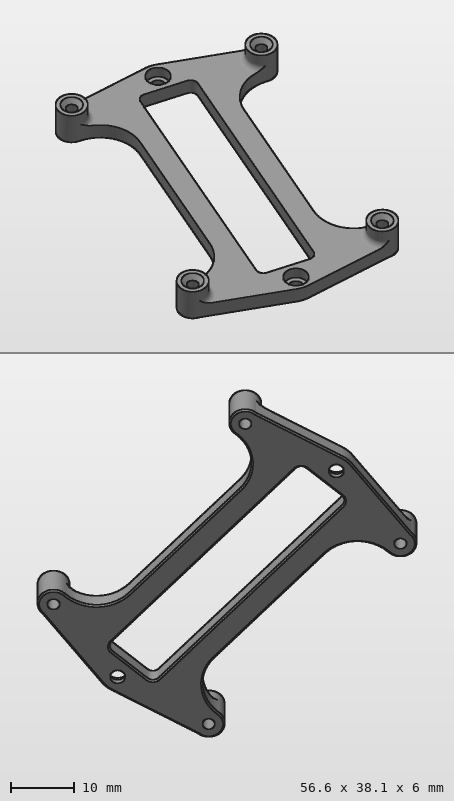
import cadquery as cq
import math

length = 56.65
width = 38.1
plate_thickness = 3.0
bottom_chamfer = 0.3
tip_radius = 5.0
waist_half_width = 9.0
waist_corner_radius = 6.95

post_height = 6.0
post_radius = 2.55
post_x = 22.5
post_y = width / 2 - post_radius
post_fillet = 1.0
post_hole_diameter = 1.9
post_sink_diameter = 3.55
sink_angle = 90

window_length = 45.55
window_width = 10.0
window_corner_radius = 1.25

trim_margin = 28.35

tip_hole_x = 25.65
tip_hole_diameter = 2.4
tip_bore_diameter = 4.0
tip_bore_depth = 2.0

post_centers = [(sx * post_x, sy * post_y) for sx in (-1, 1) for sy in (-1, 1)]


def tip_tangent_point():
    """Point where the line from a post's outer side touches the rounded right tip."""
    center_x = length / 2 - tip_radius
    dx = post_x + post_radius - center_x
    dy = post_y
    angle = math.atan2(dy, dx) - math.acos(tip_radius / math.hypot(dx, dy))
    return center_x + tip_radius * math.cos(angle), tip_radius * math.sin(angle)


def outline(height):
    """Waisted outline with rounded ends and posts, extruded up from the bottom face."""
    tangent_x, tangent_y = tip_tangent_point()
    outer_x = post_x + post_radius
    inner_x = post_x - post_radius
    waist_x = inner_x - waist_corner_radius
    corner_y = waist_half_width + waist_corner_radius
    diagonal = waist_corner_radius * math.sqrt(0.5)
    arc_x = waist_x + diagonal
    arc_y = corner_y - diagonal
    return (
        cq.Workplane("XY")
        .moveTo(-waist_x, waist_half_width)
        .lineTo(waist_x, waist_half_width)
        .threePointArc((arc_x, arc_y), (inner_x, corner_y))
        .lineTo(inner_x, post_y)
        .threePointArc((post_x, width / 2), (outer_x, post_y))
        .lineTo(tangent_x, tangent_y)
        .threePointArc((length / 2, 0), (tangent_x, -tangent_y))
        .lineTo(outer_x, -post_y)
        .threePointArc((post_x, -width / 2), (inner_x, -post_y))
        .lineTo(inner_x, -corner_y)
        .threePointArc((arc_x, -arc_y), (waist_x, -waist_half_width))
        .lineTo(-waist_x, -waist_half_width)
        .threePointArc((-arc_x, -arc_y), (-inner_x, -corner_y))
        .lineTo(-inner_x, -post_y)
        .threePointArc((-post_x, -width / 2), (-outer_x, -post_y))
        .lineTo(-tangent_x, -tangent_y)
        .threePointArc((-length / 2, 0), (-tangent_x, tangent_y))
        .lineTo(-outer_x, post_y)
        .threePointArc((-post_x, width / 2), (-inner_x, post_y))
        .lineTo(-inner_x, corner_y)
        .threePointArc((-arc_x, arc_y), (-waist_x, waist_half_width))
        .close()
        .extrude(height)
    )


def post_top():
    """Upper part of a post, centred on the Z axis, flaring into the plate."""
    flare_radius = post_radius + post_fillet
    fillet_top = plate_thickness + post_fillet
    arc_offset = post_fillet * math.sqrt(0.5)
    return (
        cq.Workplane("XZ")
        .moveTo(0, plate_thickness)
        .lineTo(flare_radius, plate_thickness)
        .threePointArc(
            (flare_radius - arc_offset, fillet_top - arc_offset),
            (post_radius, fillet_top),
        )
        .lineTo(post_radius, post_height)
        .lineTo(0, post_height)
        .close()
        .revolve(360, (0, 0, 0), (0, 1, 0))
    )


keep = cq.Workplane("XY").rect(length + trim_margin, width + trim_margin).extrude(plate_thickness)
for x, y in post_centers:
    keep = keep.union(post_top().translate((x, y, 0)))
plate = outline(post_height).intersect(keep)

window = (
    cq.Workplane("XY")
    .rect(window_length, window_width)
    .extrude(plate_thickness)
    .edges("|Z")
    .fillet(window_corner_radius)
)
plate = plate.cut(window)

plate = plate.faces("<Z").edges().chamfer(bottom_chamfer)

plate = (
    plate.faces(">Z")
    .workplane(origin=(0, 0, post_height))
    .pushPoints(post_centers)
    .cskHole(post_hole_diameter, post_sink_diameter, sink_angle)
)

result = (
    plate.copyWorkplane(cq.Workplane("XY", origin=(0, 0, plate_thickness)))
    .pushPoints([(-tip_hole_x, 0), (tip_hole_x, 0)])
    .cboreHole(tip_hole_diameter, tip_bore_diameter, tip_bore_depth)
)